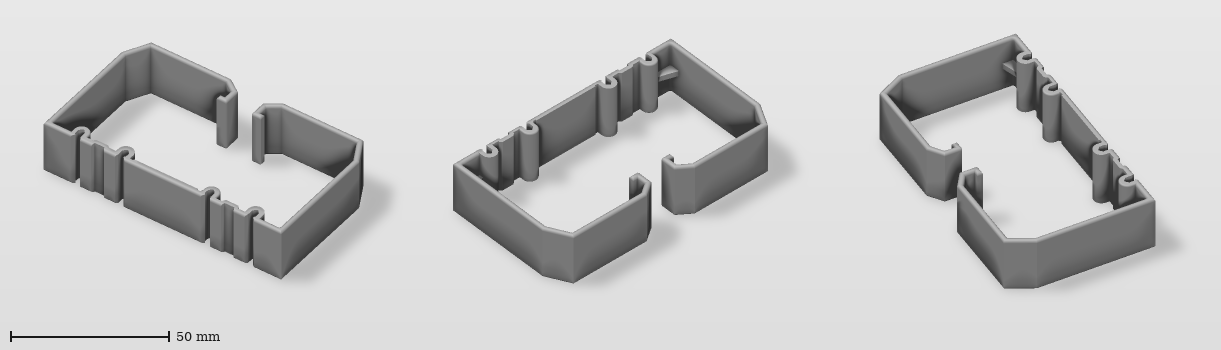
import cadquery as cq
import math

width = 92.0
depth = 51.8
height = 20.15
wall = 2.0
edge_radius = 0.9
half_width = width / 2

side_height = 42.5
shoulder_inset = 5.0
mouth_half_width = 4.8
mouth_bevel_run = 5.3
mouth_bevel_drop = 3.8
lip_bottom = 41.6
lip_length = 3.8
lip_corner_radius = 0.6
inner_corner_radius = 0.6

cluster_x = 25.1
arch_offset = 8.6
arch_radius = 2.85
arch_center_y = 3.4
arch_edge_radius = 0.55
opening_half_width = 1.3
opening_top = 4.5
opening_tip_radius = 0.5
foot_height = 1.0
hook_reach = 0.55
hook_bevel = 1.1
plain_bevel = 0.55
step_base_width = 6.3
step_top_width = 4.5
step_top = 2.8
slot_width = 3.8
slot_depth = 1.3
thin_wall = 1.6
notch_width = 1.3

gusset_tip = 6.1
gusset_foot = 3.5
gusset_thickness = wall


def prism(points):
    """Full-height prism with the given XY outline, centred on Z."""
    return cq.Workplane("XY").polyline(points).close().extrude(height / 2, both=True)


def mirrored(body):
    """The body joined with its mirror image across the YZ plane."""
    return body.union(body.mirror("YZ"))


def inset_bend(before, bend, after, distance):
    """Point inside a left-turning bend, at the same distance from both of its sides."""
    heading_in = math.atan2(bend[1] - before[1], bend[0] - before[0])
    heading_out = math.atan2(after[1] - bend[1], after[0] - bend[0])
    bisector = (heading_in + heading_out + math.pi) / 2
    reach = distance / math.cos((heading_out - heading_in) / 2)
    return (bend[0] + reach * math.cos(bisector), bend[1] + reach * math.sin(bisector))


def round_upright_edge(body, x, y, radius):
    """Fillet the vertical edge that stands at (x, y)."""
    return body.edges(cq.selectors.NearestToPointSelector((x, y, 0))).fillet(radius)


def side_frame():
    """Right half of the frame: base wall, side, shoulder, back wall, bevel and lip."""
    lip_x = mouth_half_width
    outer = [
        (0, 0),
        (half_width, 0),
        (half_width, side_height),
        (half_width - shoulder_inset, depth),
        (lip_x + mouth_bevel_run, depth),
        (lip_x, depth - mouth_bevel_drop),
        (lip_x, lip_bottom),
    ]
    inner = [inset_bend(*outer[i - 1:i + 2], wall) for i in range(1, len(outer) - 1)]
    lip = [
        (lip_x + lip_length, lip_bottom),
        (lip_x + lip_length, lip_bottom + wall),
        (lip_x + wall, lip_bottom + wall),
    ]
    frame = prism(outer + lip + inner[::-1] + [(0, wall)])
    frame = round_upright_edge(frame, lip_x, lip_bottom, lip_corner_radius)
    return round_upright_edge(frame, half_width - wall, wall, inner_corner_radius)


def arch(center_x):
    """Round-topped block standing just above the rounded outer rim of the base wall."""
    return (
        cq.Workplane("XY")
        .moveTo(center_x - arch_radius, edge_radius)
        .lineTo(center_x - arch_radius, arch_center_y)
        .threePointArc((center_x, arch_center_y + arch_radius), (center_x + arch_radius, arch_center_y))
        .lineTo(center_x + arch_radius, edge_radius)
        .close()
        .extrude(height / 2, both=True)
    )


def rounded_arch(center_x):
    """Arch block whose top and bottom rims are rounded."""
    return arch(center_x).faces("<Z or >Z").edges("not <Y").fillet(arch_edge_radius)


def arch_opening(center_x, hook_side):
    """Passage under an arch; hook_side is -1 or +1 for the side of the hooked foot."""
    hook_tip = opening_half_width - hook_reach
    tip_reach = opening_tip_radius * math.sin(math.pi / 4)
    tip_end_y = opening_top - opening_tip_radius + tip_reach
    eaves_y = tip_end_y - (opening_half_width - tip_reach)

    def at(toward_hook, y):
        return (center_x + toward_hook * hook_side, y)

    return (
        cq.Workplane("XY")
        .moveTo(*at(-opening_half_width - plain_bevel, 0))
        .lineTo(*at(hook_tip + hook_bevel, 0))
        .lineTo(*at(hook_tip, foot_height))
        .lineTo(*at(opening_half_width, foot_height + hook_reach))
        .lineTo(*at(opening_half_width, eaves_y))
        .lineTo(*at(tip_reach, tip_end_y))
        .threePointArc(at(0, opening_top), at(-tip_reach, tip_end_y))
        .lineTo(*at(-opening_half_width, eaves_y))
        .lineTo(*at(-opening_half_width, foot_height))
        .close()
        .extrude(height / 2, both=True)
    )


def raised_step(center_x):
    """Low trapezoid on the inner face of the base wall."""
    base = step_base_width / 2
    top = step_top_width / 2
    return prism([
        (center_x - base, edge_radius),
        (center_x + base, edge_radius),
        (center_x + base, wall),
        (center_x + top, step_top),
        (center_x - top, step_top),
        (center_x - base, wall),
    ])


def step_slot(center_x):
    """Outer slot behind a raised step, with a bevelled mouth."""
    half = slot_width / 2
    mouth = half + plain_bevel
    return prism([
        (center_x - mouth, 0),
        (center_x + mouth, 0),
        (center_x + half, foot_height),
        (center_x + half, slot_depth),
        (center_x - half, slot_depth),
        (center_x - half, foot_height),
    ])


def thinned(start, end):
    """Cutter that brings the base wall down to thin_wall between two X places."""
    return prism([(start, thin_wall), (end, thin_wall), (end, 2 * wall), (start, 2 * wall)])


def gusset():
    """Web in the right corner, between the side wall and the outer arch."""
    inner_face = half_width - wall
    root = half_width - wall / 2
    foot = cluster_x + arch_offset + arch_radius - arch_edge_radius
    return (
        cq.Workplane("XY")
        .polyline([
            (foot, wall / 2),
            (root, wall / 2),
            (root, gusset_tip),
            (inner_face, gusset_tip),
            (foot, gusset_foot),
        ])
        .close()
        .extrude(gusset_thickness / 2, both=True)
    )


body = mirrored(side_frame()).faces("<Z or >Z").edges().fillet(edge_radius)

square_reach = cluster_x + arch_offset
body = body.union(prism([
    (-square_reach, edge_radius),
    (square_reach, edge_radius),
    (square_reach, wall),
    (-square_reach, wall),
]))
body = body.union(mirrored(gusset()))

notch_end = cluster_x - arch_offset - arch_radius
body = body.cut(mirrored(thinned(notch_end - notch_width, notch_end)))
body = body.cut(thinned(cluster_x - arch_offset, cluster_x + arch_offset))

for center_x in (-cluster_x, cluster_x):
    body = body.union(rounded_arch(center_x - arch_offset))
    body = body.union(arch(center_x + arch_offset))
    body = body.union(raised_step(center_x))
    body = body.cut(arch_opening(center_x - arch_offset, -1))
    body = body.cut(arch_opening(center_x + arch_offset, 1))
    body = body.cut(step_slot(center_x))

result = body